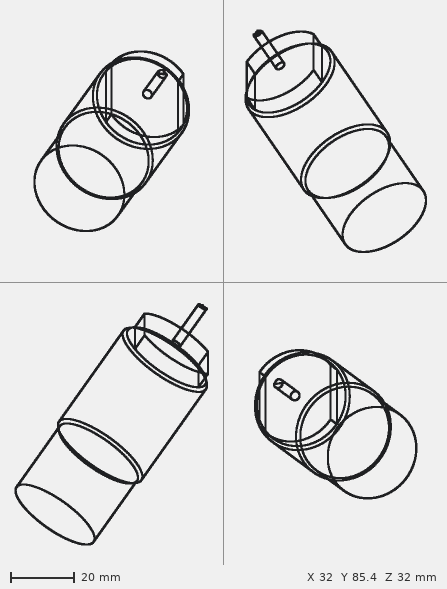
import cadquery as cq

total_length = 85.4
body_diameter = 32.0
nose_diameter = 30.0
nose_length = 25.0
body_length = 39.45
body_chamfer = 1.0
head_diameter = nose_diameter
head_length = 5.6
head_across_flats = 24.0
cable_diameter = 3.0

break_depth = 0.85
break_top_setback = 0.3

body_start = nose_length
head_start = body_start + body_length
cable_start = head_start + head_length


def cylinder_along_y(diameter, start, end):
    return (
        cq.Workplane("XZ", origin=(0, start, 0))
        .circle(diameter / 2)
        .extrude(start - end)
    )


def make_body():
    body = cylinder_along_y(body_diameter, body_start, head_start)
    return body.edges("%CIRCLE").chamfer(body_chamfer)


def make_head():
    """Round head with two wrench flats facing -X and +X."""
    head = cylinder_along_y(head_diameter, head_start, cable_start)
    flats = cq.Workplane("XY").box(head_across_flats, 2 * total_length, head_diameter)
    return head.intersect(flats)


def make_cable():
    """Cable stub whose upper half ends in a concave break."""
    cable_radius = cable_diameter / 2
    cable = cylinder_along_y(cable_diameter, cable_start, total_length)
    break_cut = (
        cq.Workplane("YZ")
        .moveTo(total_length, 0)
        .threePointArc(
            (total_length - break_depth, cable_radius / 2),
            (total_length - break_top_setback, cable_radius),
        )
        .lineTo(total_length, cable_radius)
        .close()
        .extrude(cable_diameter, both=True)
    )
    return cable.cut(break_cut)


nose = cylinder_along_y(nose_diameter, 0, body_start)
result = nose.union(make_body()).union(make_head()).union(make_cable())